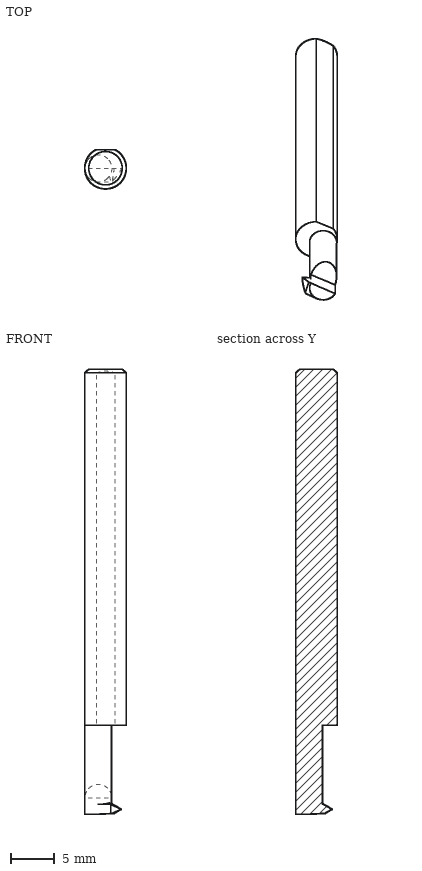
import cadquery as cq
import math

overall_length = 50.8
shank_diameter = 4.7625
shank_radius = shank_diameter / 2
flat_offset = 2.13
chamfer_radial = 0.47
chamfer_height = 0.4

neck_length = 10.16
neck_diameter = 3.08
neck_radius = neck_diameter / 2
neck_x = neck_radius - shank_radius

relief_height = 1.9
relief_runout_angle = 45.0

tip_x = 1.82
tip_z = 0.58
flank_angle = 30.0
tooth_root_x = 0.61
tooth_top_rake = 1.50
tooth_top_back = 1.15
flank_back_shift = 0.25
clearance_radius = 4.5
end_relief_rise = 0.09

flank_slope = math.tan(math.radians(flank_angle))
lower_flank_x = tip_x - (tip_z - end_relief_rise) / flank_slope


def make_shank():
    """Round shank with a full-length flat and a chamfered top rim."""
    bottom = neck_length
    profile = [
        (0, bottom),
        (shank_radius, bottom),
        (shank_radius, overall_length - chamfer_height),
        (shank_radius - chamfer_radial, overall_length),
        (0, overall_length),
    ]
    body = cq.Workplane("XZ").polyline(profile).close().revolve(360, (0, 0, 0), (0, 1, 0))
    flat_cutter = (
        cq.Workplane("XY")
        .box(shank_diameter, shank_diameter, overall_length, centered=(True, False, False))
        .translate((0, flat_offset, 0))
    )
    return body.cut(flat_cutter)


def make_neck():
    """Eccentric round neck, cut back to the rake plane near the tip."""
    neck = cq.Workplane("XY").center(neck_x, 0).circle(neck_radius).extrude(neck_length)
    relief_depth = neck_diameter
    runout_rise = relief_depth * math.tan(math.radians(relief_runout_angle))
    relief_profile = [
        (0, 0),
        (relief_depth, 0),
        (relief_depth, relief_height + runout_rise),
        (0, relief_height),
    ]
    relief = (
        cq.Workplane("YZ", origin=(neck_x, 0, 0))
        .polyline(relief_profile)
        .close()
        .extrude(neck_radius, both=True)
    )
    end_relief_profile = [
        (neck_x, 0),
        (lower_flank_x, 0),
        (lower_flank_x, end_relief_rise),
    ]
    end_relief = cq.Workplane("XZ").polyline(end_relief_profile).close().extrude(neck_radius, both=True)
    return neck.cut(relief).cut(end_relief)


def tooth_section(y, top_z, flank_shift):
    """Closed tooth outline in the plane at the given Y, with its flanks drawn back by flank_shift."""
    upper_flank_x = tip_x - flank_shift - (top_z - tip_z) / flank_slope
    points = [
        (neck_x, 0),
        (lower_flank_x - flank_shift, end_relief_rise),
        (tip_x - flank_shift, tip_z),
        (upper_flank_x, top_z),
        (neck_x, top_z),
    ]
    return cq.Wire.makePolygon([cq.Vector(x, y, z) for x, z in points], close=True)


def make_tooth():
    """Tooth tapering from the rake face to its back, trimmed by the curved front clearance face."""
    rake_section = tooth_section(0, tooth_top_rake, 0)
    back_section = tooth_section(-neck_radius, tooth_top_back, flank_back_shift)
    tooth = cq.Workplane(cq.Solid.makeLoft([rake_section, back_section], True))
    envelope = (
        cq.Workplane("XY")
        .moveTo(neck_x, 0)
        .lineTo(neck_x, -neck_radius)
        .lineTo(tooth_root_x, -neck_radius)
        .radiusArc((tip_x, 0), -clearance_radius)
        .close()
        .extrude(neck_length)
    )
    return tooth.intersect(envelope)


result = make_shank().union(make_neck()).union(make_tooth())